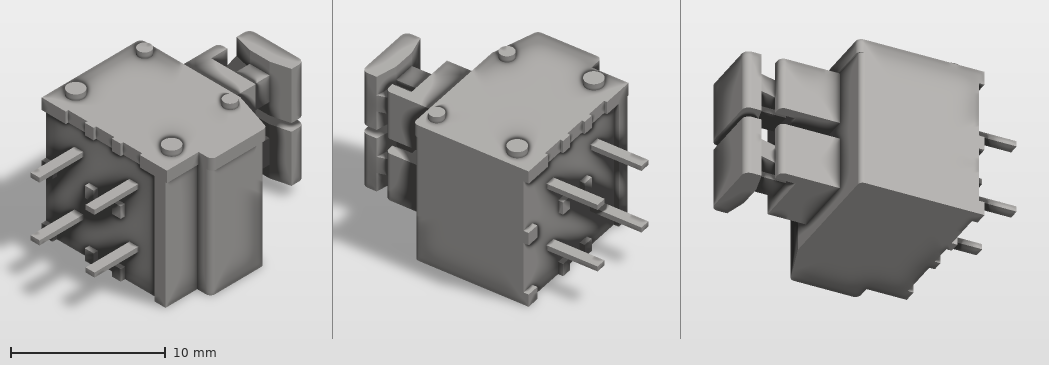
import cadquery as cq


pole_count = 2
pole_pitch = 5.0
poles_height = pole_count * pole_pitch

plate_width = 12.6
plate_length = 9.07
plate_thickness = 1.0
housing_inset = 0.125
foot_right_x = 11.4
step_y = 2.9
slope_start_x = 9.05
slope_end_y = 7.93
corner_radius = 0.4
housing_rear_radius = 0.35

floor_y = 0.4
rim_left_x = 10.3
foot_height = plate_thickness
left_foot_width = 1.0
middle_foot_width = 0.8
middle_foot_xs = (3.93, 6.4)
notch_depth = 0.23
notch_left_x = 2.2
notch_right_x = 8.94

pin_width = 0.8
pin_thickness = 0.4
pin_reach = 3.61
pin_x = 3.0
pin_spacing = 5.0
pin_z = 3.0

stud_height = 0.5
small_stud_diameter = 1.1
large_stud_diameter = 1.4
small_stud_places = ((1.32, 8.1), (9.2, 8.0))
large_stud_places = ((1.32, 1.8), (10.05, 1.8))

guide_left_x = 2.95
guide_width = 4.85
guide_height = 3.8
guide_end_y = 11.75
finger_width = 0.8
finger_end_y = 13.24

total_length = 19.1
head_end_y = total_length - pin_reach
head_left_x = 3.51
head_width = 5.0
head_height = 4.32
head_side_y = 14.3
head_under_y = 13.89
head_radius = 0.5
stem_left_x = 5.14
stem_width = 1.8
stem_height = 2.12
wedge_foot_x = 4.22
wedge_height = 1.32
button_z = 3.11


def box(x, y, z, width, length, height):
    """A box given by its lowest corner and its sizes."""
    return cq.Workplane("XY").box(width, length, height, centered=False).translate((x, y, z))


def prism(points, bottom_z, height):
    """A closed outline in the XY plane extruded upward."""
    return cq.Workplane("XY").workplane(offset=bottom_z).polyline(points).close().extrude(height)


def housing_slice(inset, rear_radius, bottom_z, height):
    """The housing outline, its rear and right sides drawn in by the inset, extruded upward."""
    right_x = plate_width - inset
    rear_y = plate_length - inset
    foot_x = foot_right_x - inset
    outline = [
        (0, 0),
        (foot_x, 0),
        (foot_x, step_y),
        (right_x, step_y),
        (right_x, slope_end_y - inset),
        (slope_start_x, rear_y),
        (0, rear_y),
    ]
    body = prism(outline, bottom_z, height)
    body = body.edges("|Z and >X").fillet(corner_radius)
    return body.edges("|Z and <X and >Y").fillet(rear_radius)


def housing():
    """The stacked poles, recessed on the seating side between small feet and the right rim."""
    body = housing_slice(housing_inset, housing_rear_radius, 0, poles_height)
    body = body.cut(box(0, 0, 0, rim_left_x, floor_y, poles_height))
    for pole in range(pole_count):
        z = pole * pole_pitch
        body = body.union(box(0, 0, z, left_foot_width, floor_y, foot_height))
        for x in middle_foot_xs:
            body = body.union(box(x, 0, z, middle_foot_width, floor_y, foot_height))
    return body


def end_plate():
    """The plate with its notched seating edge and four locating studs."""
    plate = housing_slice(0, corner_radius, poles_height, plate_thickness)
    notch_width = notch_right_x - notch_left_x
    plate = plate.cut(box(notch_left_x, 0, poles_height, notch_width, notch_depth, plate_thickness))
    for x in middle_foot_xs:
        plate = plate.union(box(x, 0, poles_height, middle_foot_width, notch_depth, plate_thickness))
    top = cq.Workplane("XY").workplane(offset=poles_height + plate_thickness)
    for places, diameter in (
        (small_stud_places, small_stud_diameter),
        (large_stud_places, large_stud_diameter),
    ):
        plate = plate.union(top.pushPoints(places).circle(diameter / 2).extrude(stud_height))
    return plate


def pins():
    """The two contact pins of the lowest pole."""
    pair = cq.Workplane("XY")
    for x in (pin_x, pin_x + pin_spacing):
        pair = pair.union(
            box(
                x - pin_width / 2,
                -pin_reach,
                pin_z - pin_thickness / 2,
                pin_width,
                pin_reach + floor_y,
                pin_thickness,
            )
        )
    return pair


def guide():
    """The L-shaped guide block of the lowest pole, flush with the top of the pole."""
    base_y = plate_length - housing_inset
    bottom_z = pole_pitch - guide_height
    finger = box(guide_left_x, base_y, bottom_z, finger_width, finger_end_y - base_y, guide_height)
    finger = finger.edges("|Z and <X and >Y").fillet(corner_radius)
    block = box(guide_left_x, base_y, bottom_z, guide_width, guide_end_y - base_y, guide_height)
    return block.union(finger)


def button():
    """The push button of the lowest pole."""
    head_right_x = head_left_x + head_width
    stem_right_x = stem_left_x + stem_width
    head_outline = [
        (head_left_x, head_end_y),
        (head_left_x, head_side_y),
        (stem_left_x, head_under_y),
        (stem_right_x, head_under_y),
        (head_right_x, head_side_y),
        (head_right_x, head_end_y),
    ]
    head = prism(head_outline, button_z - head_height / 2, head_height)
    head = head.edges("|Z and >Y").fillet(head_radius)
    stem = box(
        stem_left_x,
        guide_end_y,
        button_z - stem_height / 2,
        stem_width,
        head_under_y - guide_end_y,
        stem_height,
    )
    wedge_outline = [
        (wedge_foot_x, guide_end_y),
        (stem_left_x, guide_end_y),
        (stem_left_x, head_under_y),
        (head_left_x, head_side_y),
    ]
    wedge = prism(wedge_outline, button_z - wedge_height / 2, wedge_height)
    return head.union(stem).union(wedge)


pole_parts = pins().union(guide()).union(button())

result = housing().union(end_plate())
for pole in range(pole_count):
    result = result.union(pole_parts.translate((0, 0, pole * pole_pitch)))